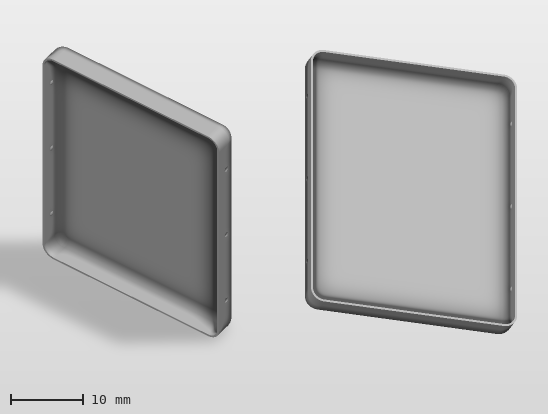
import cadquery as cq
import math

width = 29.9
depth = 3.8
height = 38.1
wall = 0.3
corner_radius = 1.9
back_radius = 1.3

detent_spacing = 12.5
detent_y = -0.2
dimple_radius = 0.4
dimple_depth = 0.23
bump_radius = 0.4
bump_rise = 0.15


def rounded_block(inset):
    """Tray envelope moved inward by inset, with its front kept flush at -Y."""
    return (
        cq.Workplane("XZ", origin=(0, depth / 2 - inset, 0))
        .rect(width - 2 * inset, height - 2 * inset)
        .extrude(depth - inset)
        .edges("|Y")
        .fillet(corner_radius - inset)
        .faces(">Y")
        .edges()
        .fillet(back_radius - inset)
    )


def cap(base_x, base_radius, rise, inward):
    """Spherical cap on a side wall at mid height, rising inward from the plane X = base_x."""
    sphere_radius = (base_radius**2 + rise**2) / (2 * rise)
    half_angle = math.asin(base_radius / sphere_radius) / 2
    middle_rise = rise - sphere_radius * (1 - math.cos(half_angle))
    middle_y = detent_y + sphere_radius * math.sin(half_angle)
    return (
        cq.Workplane("XY")
        .moveTo(base_x, detent_y)
        .lineTo(base_x, detent_y + base_radius)
        .threePointArc((base_x + inward * middle_rise, middle_y), (base_x + inward * rise, detent_y))
        .close()
        .revolve(360, (base_x, detent_y, 0), (base_x + 0.4, detent_y, 0))
    )


result = rounded_block(0).cut(rounded_block(wall))
for side in (-1, 1):
    outer_x = side * width / 2
    inner_x = outer_x - side * wall
    bump = cap(inner_x, bump_radius, bump_rise, -side)
    dimple = cap(outer_x, dimple_radius, dimple_depth, -side)
    for row in (-1, 0, 1):
        position = (0, 0, row * detent_spacing)
        result = result.union(bump.translate(position)).cut(dimple.translate(position))